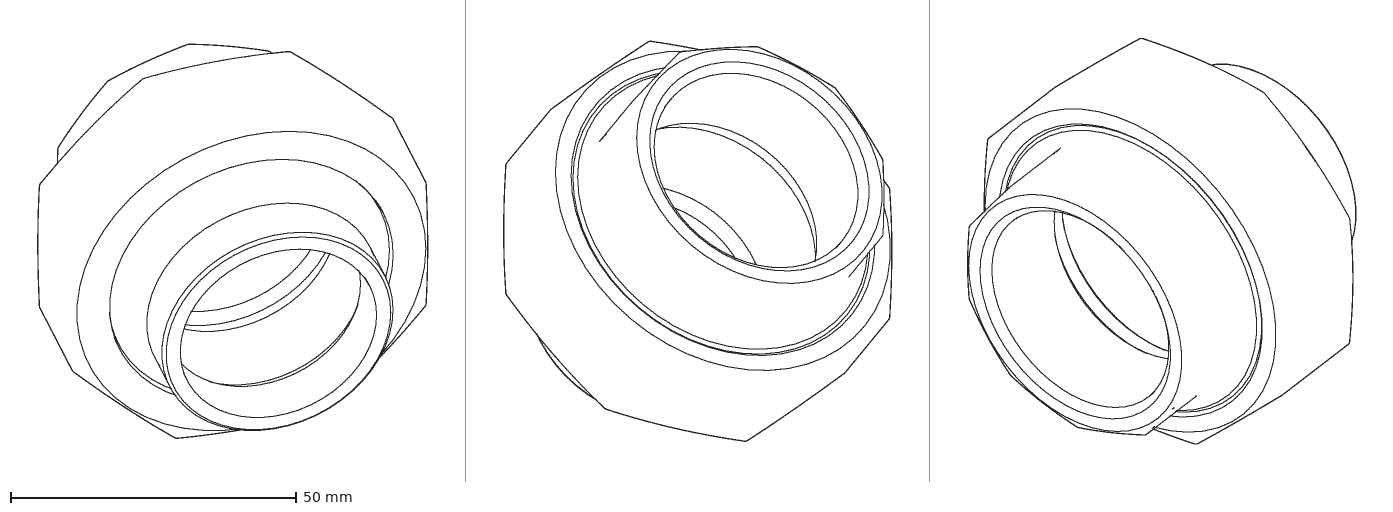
import cadquery as cq
import math


NUT_START = 16.0
NUT_LENGTH = 22.0
NUT_END = NUT_START + NUT_LENGTH
SEAT_START = 24.1
NOSE_X = 25.2
SEAT_END = 27.5
COLLAR_END = 32.0
CONE_END = 44.5
TOTAL_LENGTH = 54.0

CORNER_RADIUS = 1.0
BEVEL_ANGLE = 20.0
BEVEL_EDGE_RADIUS = 0.5

NUT_SIDES = 8
NUT_ACROSS_FLATS = 65.0
NUT_FACE_DIAMETER = 64.0
NUT_MOUTH_DIAMETER = 58.0
NUT_LIP_DIAMETER = 52.0

GRIP_SIDES = 10
GRIP_ACROSS_FLATS = 48.0
GRIP_FACE_DIAMETER = 46.9
GRIP_ROOT_RADIUS = 0.6
SHOULDER_FACE_DIAMETER = 55.5
MATING_DIAMETER = (SHOULDER_FACE_DIAMETER + NUT_MOUTH_DIAMETER) / 2
MOUTH_CHAMFER = (NUT_MOUTH_DIAMETER - MATING_DIAMETER) / 2
SHOULDER_CHAMFER = (MATING_DIAMETER - SHOULDER_FACE_DIAMETER) / 2
THREAD_DIAMETER = 38.95
THREAD_MOUTH_DIAMETER = 41.9
THREAD_END = 19.5
RELIEF_DIAMETER = 42.5
NOSE_DIAMETER = RELIEF_DIAMETER + 2 * (NOSE_X - SEAT_START)
SEAT_END_DIAMETER = RELIEF_DIAMETER + 2 * (SEAT_END - SEAT_START)

COLLAR_DIAMETER = SHOULDER_FACE_DIAMETER
NECK_DIAMETER = 51.5
PIPE_DIAMETER = 42.4
NECK_BORE = THREAD_DIAMETER
PIPE_BORE = 36.0
CONE_ANGLE = 30.0
CONE_SLOPE = math.tan(math.radians(CONE_ANGLE))
CONE_START = CONE_END - (NECK_DIAMETER - PIPE_DIAMETER) / 2 / CONE_SLOPE
INNER_CONE_START = CONE_END - (NECK_BORE - PIPE_BORE) / 2 / CONE_SLOPE
PIPE_END_CHAMFER = 0.6
BORE_ENTRY_RADIUS = 0.6


def revolve_about_x(points):
    """Solid of revolution about X from (x, radius) points."""
    return cq.Workplane("XY").polyline(points).close().revolve(360, (0, 0, 0), (1, 0, 0))


def cylinder(diameter, start, end):
    return cq.Workplane("YZ", origin=(start, 0, 0)).circle(diameter / 2).extrude(end - start)


def wrench_prism(sides, across_flats, start, end):
    """Regular prism along X with two flats facing +Y and -Y and rounded corners."""
    corner_diameter = across_flats / math.cos(math.pi / sides)
    prism = (
        cq.Workplane("YZ", origin=(start, 0, 0))
        .transformed(rotate=(0, 0, 180 / sides))
        .polygon(sides, corner_diameter)
        .extrude(end - start)
    )
    return prism.edges("|X").fillet(CORNER_RADIUS)


def bevel_depth(across_flats, face_diameter):
    """X depth of a bevel at a radius clear of the prism corners."""
    return (across_flats - face_diameter / 2) * math.tan(math.radians(BEVEL_ANGLE))


def round_bevel_edges(body):
    """Round the curved edges where the bevels meet the flats and corners."""
    return body.edges("(not %CIRCLE) and (not |X) and (not %LINE)").fillet(BEVEL_EDGE_RADIUS)


def make_nut():
    depth = bevel_depth(NUT_ACROSS_FLATS, NUT_FACE_DIAMETER)
    prism = wrench_prism(NUT_SIDES, NUT_ACROSS_FLATS, NUT_START, NUT_END)
    envelope = revolve_about_x([
        (NUT_START, 0),
        (NUT_START, NUT_FACE_DIAMETER / 2),
        (NUT_START + depth, NUT_ACROSS_FLATS),
        (NUT_END - depth, NUT_ACROSS_FLATS),
        (NUT_END, NUT_FACE_DIAMETER / 2),
        (NUT_END, 0),
    ])
    nut = round_bevel_edges(prism.intersect(envelope))
    bore = revolve_about_x([
        (NUT_START, 0),
        (NUT_START, NUT_MOUTH_DIAMETER / 2),
        (NUT_START + MOUTH_CHAMFER, MATING_DIAMETER / 2),
        (COLLAR_END, MATING_DIAMETER / 2),
        (COLLAR_END, NUT_LIP_DIAMETER / 2),
        (NUT_END, NUT_LIP_DIAMETER / 2),
        (NUT_END, 0),
    ])
    return nut.cut(bore)


def make_threaded_end():
    depth = bevel_depth(GRIP_ACROSS_FLATS, GRIP_FACE_DIAMETER)
    prism = wrench_prism(GRIP_SIDES, GRIP_ACROSS_FLATS, 0, NUT_START)
    envelope = revolve_about_x([
        (0, 0),
        (0, GRIP_FACE_DIAMETER / 2),
        (depth, GRIP_ACROSS_FLATS),
        (NUT_START, GRIP_ACROSS_FLATS),
        (NUT_START, 0),
    ])
    grip = round_bevel_edges(prism.intersect(envelope))
    shoulder = (
        cylinder(MATING_DIAMETER, NUT_START, SEAT_END)
        .faces("<X").chamfer(SHOULDER_CHAMFER)
    )
    body = grip.union(shoulder)
    shoulder_face = body.faces("|X").faces(">X[-2]")
    root_edges = shoulder_face.val().innerWires()[0].Edges()
    body = body.newObject(root_edges).fillet(GRIP_ROOT_RADIUS)
    relief_step = (RELIEF_DIAMETER - THREAD_DIAMETER) / 2
    thread_chamfer = (THREAD_MOUTH_DIAMETER - THREAD_DIAMETER) / 2
    bore = revolve_about_x([
        (0, 0),
        (0, THREAD_MOUTH_DIAMETER / 2),
        (thread_chamfer, THREAD_DIAMETER / 2),
        (THREAD_END, THREAD_DIAMETER / 2),
        (THREAD_END + relief_step, RELIEF_DIAMETER / 2),
        (SEAT_START, RELIEF_DIAMETER / 2),
        (SEAT_END, SEAT_END_DIAMETER / 2),
        (SEAT_END, 0),
    ])
    return body.cut(bore)


def make_welding_end():
    profile = [
        (NOSE_X, NECK_BORE / 2),
        (NOSE_X, NOSE_DIAMETER / 2),
        (SEAT_END, SEAT_END_DIAMETER / 2),
        (SEAT_END, COLLAR_DIAMETER / 2),
        (COLLAR_END, COLLAR_DIAMETER / 2),
        (COLLAR_END, NECK_DIAMETER / 2),
        (CONE_START, NECK_DIAMETER / 2),
        (CONE_END, PIPE_DIAMETER / 2),
        (TOTAL_LENGTH - PIPE_END_CHAMFER, PIPE_DIAMETER / 2),
        (TOTAL_LENGTH, PIPE_DIAMETER / 2 - PIPE_END_CHAMFER),
        (TOTAL_LENGTH, PIPE_BORE / 2),
        (CONE_END, PIPE_BORE / 2),
        (INNER_CONE_START, NECK_BORE / 2),
    ]
    body = revolve_about_x(profile)
    bore_entry = cq.selectors.RadiusNthSelector(0)
    return body.faces("<X").edges(bore_entry).fillet(BORE_ENTRY_RADIUS)


nut = make_nut()
threaded_end = make_threaded_end()
welding_end = make_welding_end()

result = cq.Compound.makeCompound([nut.val(), threaded_end.val(), welding_end.val()])